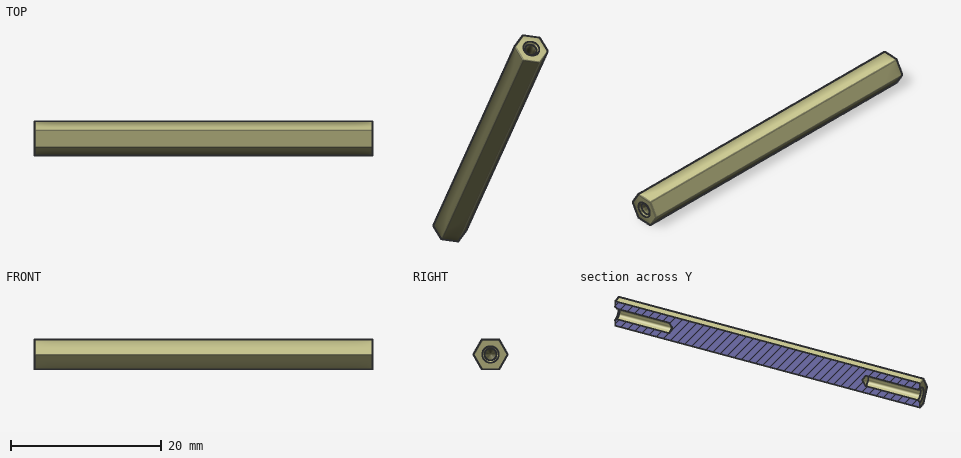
import cadquery as cq
import math

length = 45.0
across_flats = 4.0
side_count = 6
edge_radius = 0.1

bore_diameter = 1.6
bore_depth = 8.0
drill_point_angle = 118.0
countersink_diameter = 2.2
countersink_angle = 90.0


def cone_length(radius_change, included_angle):
    """Axial length of a cone whose radius changes by the given amount."""
    return radius_change / math.tan(math.radians(included_angle / 2))


def make_hex_bar():
    across_corners = across_flats / math.cos(math.pi / side_count)
    bar = cq.Workplane("YZ").polygon(side_count, across_corners).extrude(length)
    return bar.edges().fillet(edge_radius)


def make_hole_cutter():
    """Countersunk drilled hole entering the X = 0 face along +X."""
    bore_radius = bore_diameter / 2
    mouth_radius = countersink_diameter / 2
    countersink_depth = cone_length(mouth_radius - bore_radius, countersink_angle)
    tip_x = bore_depth + cone_length(bore_radius, drill_point_angle)
    half_profile = (
        cq.Workplane("XY")
        .lineTo(0, mouth_radius)
        .lineTo(countersink_depth, bore_radius)
        .lineTo(bore_depth, bore_radius)
        .lineTo(tip_x, 0)
        .close()
    )
    return half_profile.revolve(360, (0, 0, 0), (1, 0, 0))


near_hole = make_hole_cutter()
far_hole = near_hole.mirror("YZ", (length / 2, 0, 0))
result = make_hex_bar().cut(near_hole).cut(far_hole)